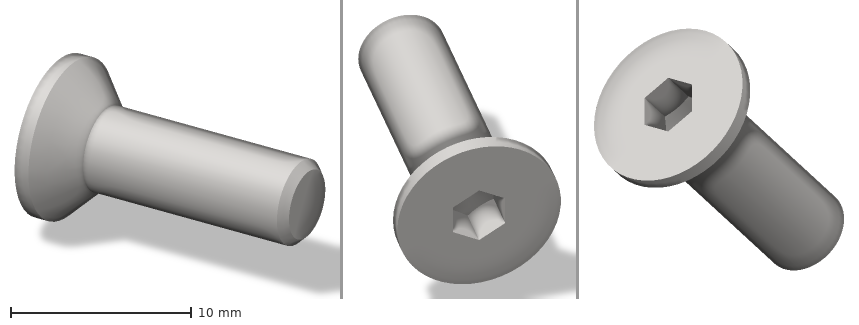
import cadquery as cq
import math

LENGTH = 16.0
HEAD_DIAMETER = 9.43
SHANK_DIAMETER = 5.0
HEAD_HEIGHT = 3.1
TIP_CHAMFER = 0.49
SOCKET_SIDES = 6
SOCKET_ACROSS_FLATS = 3.0
SOCKET_DEPTH = 2.3
SOCKET_CONE_ANGLE = 120.0

HEAD_RADIUS = HEAD_DIAMETER / 2
SHANK_RADIUS = SHANK_DIAMETER / 2
HEAD_RIM = HEAD_HEIGHT - (HEAD_RADIUS - SHANK_RADIUS)
SOCKET_CORNER_RADIUS = SOCKET_ACROSS_FLATS / math.sqrt(3)
CONE_DEPTH = SOCKET_CORNER_RADIUS / math.tan(math.radians(SOCKET_CONE_ANGLE / 2))


def make_body():
    """Revolve the screw's half profile about the X axis."""
    return (
        cq.Workplane("XY")
        .lineTo(0, HEAD_RADIUS)
        .lineTo(HEAD_RIM, HEAD_RADIUS)
        .lineTo(HEAD_HEIGHT, SHANK_RADIUS)
        .lineTo(LENGTH - TIP_CHAMFER, SHANK_RADIUS)
        .lineTo(LENGTH, SHANK_RADIUS - TIP_CHAMFER)
        .lineTo(LENGTH, 0)
        .close()
        .revolve(360, (0, 0, 0), (1, 0, 0))
    )


def make_socket():
    """Hexagonal prism, corners toward +Z and -Z, trimmed to a conical bottom."""
    corners = []
    for index in range(SOCKET_SIDES):
        angle = math.pi / 2 + index * math.tau / SOCKET_SIDES
        y = SOCKET_CORNER_RADIUS * math.cos(angle)
        z = SOCKET_CORNER_RADIUS * math.sin(angle)
        corners.append((y, z))
    full_depth = SOCKET_DEPTH + CONE_DEPTH
    prism = cq.Workplane("YZ").polyline(corners).close().extrude(full_depth)
    drill = (
        cq.Workplane("XY")
        .lineTo(0, SOCKET_CORNER_RADIUS)
        .lineTo(SOCKET_DEPTH, SOCKET_CORNER_RADIUS)
        .lineTo(full_depth, 0)
        .close()
        .revolve(360, (0, 0, 0), (1, 0, 0))
    )
    return prism.intersect(drill)


result = make_body().cut(make_socket())